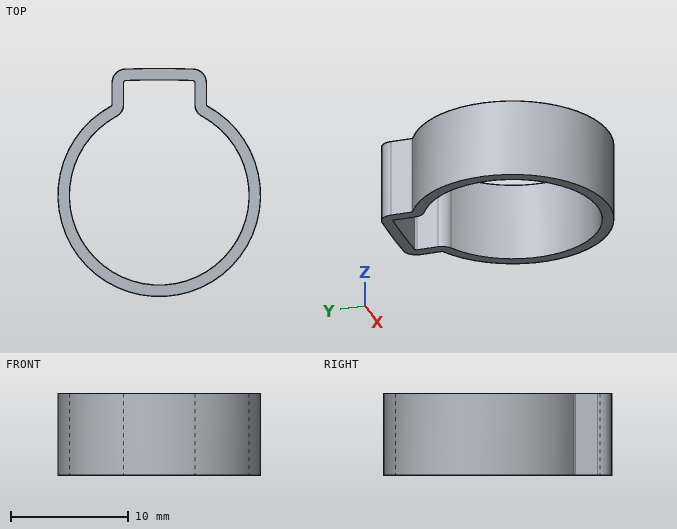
import cadquery as cq

overall_length = 19.49
ring_diameter = 17.3
band_width = 7.0
band_thickness = 1.0
ear_width = 8.07
crown_rise = 0.12
shoulder_radius = 1.17
neck_radius = 0.12

ring_radius = ring_diameter / 2
ear_half_width = ear_width / 2
crown_y = overall_length - ring_radius
corner_y = crown_y - crown_rise
neck_y = (ring_radius**2 - ear_half_width**2) ** 0.5


def outer_outline():
    """Closed outline of the ring with its ear, corners still sharp."""
    return (
        cq.Workplane("XY")
        .moveTo(ear_half_width, neck_y)
        .lineTo(ear_half_width, corner_y)
        .threePointArc((0, crown_y), (-ear_half_width, corner_y))
        .lineTo(-ear_half_width, neck_y)
        .threePointArc((0, -ring_radius), (ear_half_width, neck_y))
        .close()
    )


def rounded_body():
    """Solid block inside the outer outline, with the ear corners rounded."""
    mid_ear_y = (neck_y + corner_y) / 2
    body = outer_outline().extrude(band_width)
    shoulders = cq.selectors.BoxSelector(
        (-ear_width, mid_ear_y, 0), (ear_width, overall_length, band_width)
    )
    necks = cq.selectors.BoxSelector((-ear_width, 0, 0), (ear_width, mid_ear_y, band_width))
    body = body.edges("|Z").edges(shoulders).fillet(shoulder_radius)
    return body.edges("|Z").edges(necks).fillet(neck_radius)


def opening(body):
    """Solid filling the inside, parallel to the outer outline at one band thickness."""
    outer_wire = body.faces("<Z").wires().val()
    inner_wire = outer_wire.offset2D(-band_thickness)[0]
    return cq.Workplane("XY").add(inner_wire).toPending().extrude(band_width)


body = rounded_body()
result = body.cut(opening(body))